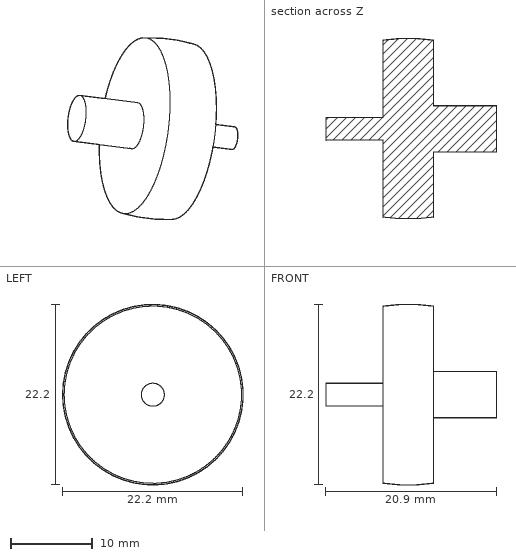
import cadquery as cq

crown_diameter = 22.15
rim_edge_diameter = 21.7
wheel_width = 6.2
pin_diameter = 2.81
pin_length = 6.98
hub_diameter = 5.7
hub_length = 7.71

half_width = wheel_width / 2
edge_radius = rim_edge_diameter / 2


def shaft(face_x, diameter, length):
    """Round shaft along X from face_x; a negative length points towards -X."""
    return cq.Workplane("YZ", origin=(face_x, 0, 0)).circle(diameter / 2).extrude(length)


wheel = (
    cq.Workplane("XY")
    .moveTo(-half_width, 0)
    .lineTo(-half_width, edge_radius)
    .threePointArc((0, crown_diameter / 2), (half_width, edge_radius))
    .lineTo(half_width, 0)
    .close()
    .revolve(360, (0, 0, 0), (1, 0, 0))
)

pin = shaft(-half_width, pin_diameter, -pin_length)
hub = shaft(half_width, hub_diameter, hub_length)

result = wheel.union(pin).union(hub)